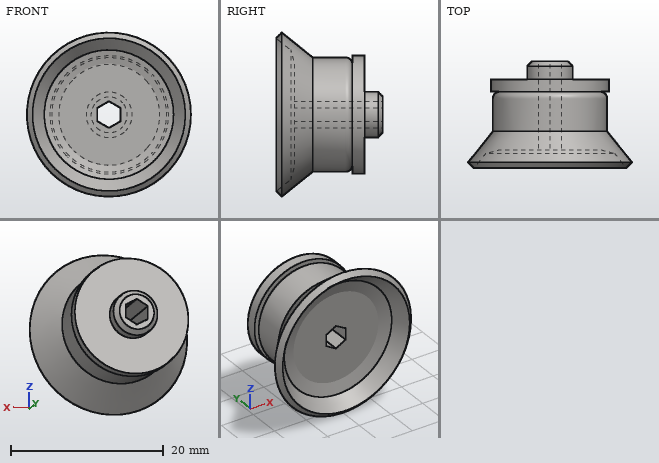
import cadquery as cq
import math


rim_radius = 21.5 / 2
rim_chamfer = 0.75
flare_end = 4.8

body_radius = 15.0 / 2
body_end = 10.0
body_edge_radius = 0.9

flange_radius = 15.5 / 2
flange_end = 11.6
pin_radius = 6.0 / 2
pin_end = 14.0
pin_chamfer = 0.65

recess_mouth_radius = rim_radius - rim_chamfer
recess_step_depth = 1.92
flare_slope = (rim_radius - body_radius) / (flare_end - rim_chamfer)
recess_step_radius = recess_mouth_radius - flare_slope * recess_step_depth
recess_floor_radius = 6.68
recess_floor_depth = 2.4

hex_across_flats = 3.0


def revolve_about_y(profile):
    """Turn a closed (radius, station) profile a full revolution about the Y axis."""
    return profile.close().revolve(360, (0, 0, 0), (0, 1, 0))


def make_outside():
    """Flared rim, body, flange and pin as one turned solid."""
    arc_reach = body_edge_radius * math.sqrt(0.5)
    edge_center_radius = body_radius - body_edge_radius
    edge_center_station = body_end - body_edge_radius
    profile = (
        cq.Workplane("XY")
        .lineTo(rim_radius - rim_chamfer, 0)
        .lineTo(rim_radius, rim_chamfer)
        .lineTo(body_radius, flare_end)
        .lineTo(body_radius, edge_center_station)
        .threePointArc(
            (edge_center_radius + arc_reach, edge_center_station + arc_reach),
            (edge_center_radius, body_end),
        )
        .lineTo(flange_radius, body_end)
        .lineTo(flange_radius, flange_end)
        .lineTo(pin_radius, flange_end)
        .lineTo(pin_radius, pin_end - pin_chamfer)
        .lineTo(pin_radius - pin_chamfer, pin_end)
        .lineTo(0, pin_end)
    )
    return revolve_about_y(profile)


def make_recess():
    """Two-cone dish cut into the front."""
    profile = (
        cq.Workplane("XY")
        .lineTo(recess_mouth_radius, 0)
        .lineTo(recess_step_radius, recess_step_depth)
        .lineTo(recess_floor_radius, recess_floor_depth)
        .lineTo(0, recess_floor_depth)
    )
    return revolve_about_y(profile)


def make_hex_hole():
    """Hexagonal prism through the whole length, with corners pointing along Z."""
    corner_diameter = hex_across_flats / math.cos(math.radians(30))
    return (
        cq.Workplane("XZ")
        .transformed(rotate=(0, 0, 90))
        .polygon(6, corner_diameter)
        .extrude(-pin_end)
    )


result = make_outside().cut(make_recess()).cut(make_hex_hole())